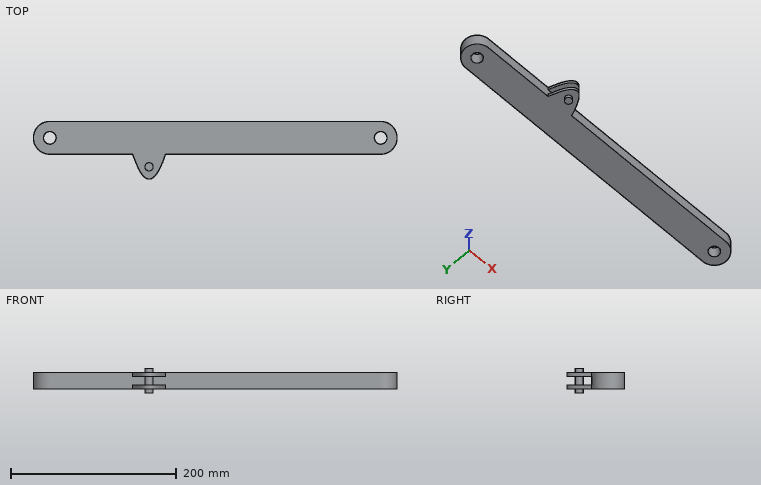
import cadquery as cq

bar_length = 440.0
bar_width = 40.0
bar_thickness = 20.0
eye_diameter = 15.0

clevis_x = -80.0
clevis_width = 40.0
clevis_reach = 30.0
ear_thickness = 5.0

pin_diameter = 10.0
pin_length = 30.0

eye_spacing = bar_length - bar_width
bar_edge_y = -bar_width / 2
bar_bottom_z = -bar_thickness / 2
bar_top_z = bar_thickness / 2
clevis_tip_y = bar_edge_y - clevis_reach
pin_y = bar_edge_y - clevis_reach / 2


def plane_at(z):
    """Horizontal workplane at height z."""
    return cq.Workplane("XY", origin=(0, 0, z))


def make_bar():
    """Round-ended bar, centred on the origin, with its two eye holes."""
    blank = plane_at(bar_bottom_z).slot2D(bar_length, bar_width).extrude(bar_thickness)
    eyes = (
        plane_at(bar_bottom_z)
        .pushPoints([(-eye_spacing / 2, 0), (eye_spacing / 2, 0)])
        .circle(eye_diameter / 2)
        .extrude(bar_thickness)
    )
    return blank.cut(eyes)


def make_ear(bottom_z):
    """Ear plate with a smoothly curved outline, its underside at bottom_z."""
    left = (clevis_x - clevis_width / 2, bar_edge_y)
    tip = (clevis_x, clevis_tip_y)
    right = (clevis_x + clevis_width / 2, bar_edge_y)
    return plane_at(bottom_z).spline([left, tip, right]).close().extrude(ear_thickness)


def make_pin():
    """Plain pin through both ears, standing proud of each."""
    return (
        plane_at(-pin_length / 2)
        .center(clevis_x, pin_y)
        .circle(pin_diameter / 2)
        .extrude(pin_length)
    )


lower_ear = make_ear(bar_bottom_z)
upper_ear = make_ear(bar_top_z - ear_thickness)
result = make_bar().union(lower_ear).union(upper_ear).union(make_pin())